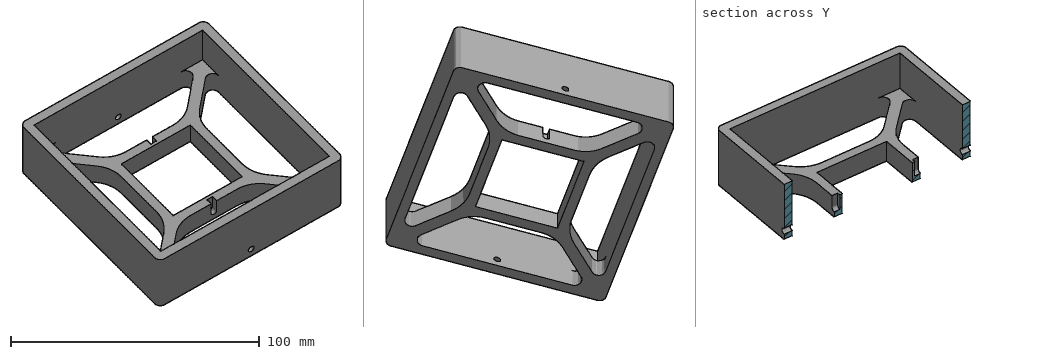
import cadquery as cq
import math

side = 92.9
height = 28.0
wall = 4.1
outer_corner_radius = 2.8

spider_height = 10.0
opening_side = 34.65
rail_width = 4.2
spoke_width = 5.0
elbow_radius = 15.0
tip_radius = 3.0

pin_diameter = 2.8
pin_height = 4.2
slot_length = 2.8

inner_side = side - 2 * wall
frame_side = opening_side + 2 * rail_width


def centered_block(size, block_height):
    """Square block centred on the Z axis, standing on Z = 0."""
    return cq.Workplane("XY").rect(size, size).extrude(block_height)


def window():
    """Trapezoidal window between the frame and the +Y wall, bounded by two spokes."""
    near = frame_side / 2
    far = inner_side / 2
    spoke_offset = spoke_width / 2 * math.sqrt(2)
    near_half = near - spoke_offset
    far_half = far - spoke_offset
    outline = [(-near_half, near), (near_half, near), (far_half, far), (-far_half, far)]
    prism = cq.Workplane("XY").polyline(outline).close().extrude(spider_height)
    prism = prism.edges("|Z and <Y").fillet(elbow_radius)
    return prism.edges("|Z and >Y").fillet(tip_radius)


def pin_slot():
    """Round-bottomed slot in the -X frame rail, open to the outside and the top."""
    start = -frame_side / 2
    bore = (
        cq.Workplane("YZ", origin=(start, 0, pin_height))
        .circle(pin_diameter / 2)
        .extrude(slot_length)
    )
    throat = cq.Workplane("XY").box(
        slot_length, pin_diameter, spider_height - pin_height, centered=(False, True, False)
    )
    return bore.union(throat.translate((start, 0, pin_height)))


result = centered_block(side, height).edges("|Z").fillet(outer_corner_radius)
cavity = centered_block(inner_side, height - spider_height)
result = result.cut(cavity.translate((0, 0, spider_height)))

result = result.cut(centered_block(opening_side, spider_height))
for quarter in range(4):
    result = result.cut(window().rotate((0, 0, 0), (0, 0, 1), 90 * quarter))

for angle in (0, 180):
    wall_hole = (
        cq.Workplane("YZ", origin=(-side / 2, 0, pin_height))
        .circle(pin_diameter / 2)
        .extrude(wall)
    )
    pin_cut = wall_hole.union(pin_slot())
    result = result.cut(pin_cut.rotate((0, 0, 0), (0, 0, 1), angle))